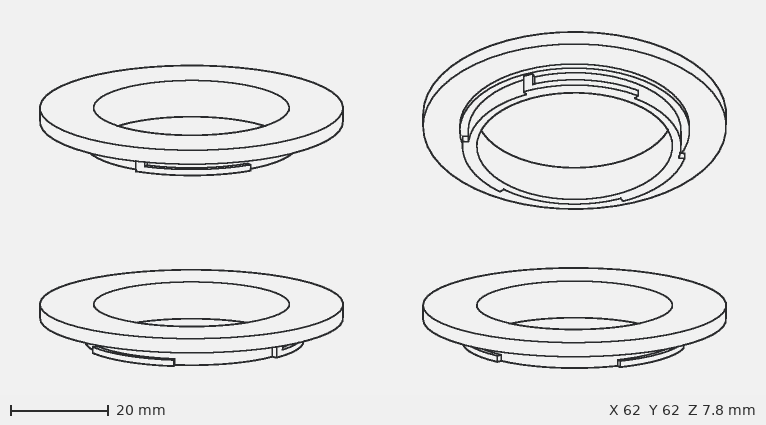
import cadquery as cq
import math

barrel_height = 3.8
shoulder_height = 1.0
flange_height = 3.0
shoulder_base = barrel_height
flange_base = shoulder_base + shoulder_height

bore_diameter = 40.0
barrel_diameter = 43.5
shoulder_diameter = 47.0
flange_diameter = 62.0
lug_diameter = 45.9

lug_height = 1.3
lug_count = 3
lug_spacing = 360 / lug_count
lug_span = 52.7
first_lug_start = 36.3

stop_lug_index = 2
stop_start = 267.5
stop_span = 5.1


def ring(outer_diameter, height, base):
    """Annulus around the common bore."""
    return (
        cq.Workplane("XY")
        .workplane(offset=base)
        .circle(outer_diameter / 2)
        .circle(bore_diameter / 2)
        .extrude(height)
    )


def polar_point(radius, angle):
    return radius * math.cos(math.radians(angle)), radius * math.sin(math.radians(angle))


def ring_sector(start, span, height):
    """Sector from the bore to the lug diameter, standing on the bottom face."""
    inner = bore_diameter / 2
    outer = lug_diameter / 2
    middle = start + span / 2
    end = start + span
    return (
        cq.Workplane("XY")
        .moveTo(*polar_point(inner, start))
        .lineTo(*polar_point(outer, start))
        .threePointArc(polar_point(outer, middle), polar_point(outer, end))
        .lineTo(*polar_point(inner, end))
        .threePointArc(polar_point(inner, middle), polar_point(inner, start))
        .close()
        .extrude(height)
    )


result = ring(barrel_diameter, barrel_height, 0)
result = result.union(ring(shoulder_diameter, shoulder_height, shoulder_base))
result = result.union(ring(flange_diameter, flange_height, flange_base))

for index in range(lug_count):
    lug_start = first_lug_start + index * lug_spacing
    lug_end = lug_start + lug_span
    if index == stop_lug_index:
        lug_start = stop_start
    result = result.union(ring_sector(lug_start, lug_end - lug_start, lug_height))

result = result.union(ring_sector(stop_start, stop_span, barrel_height))